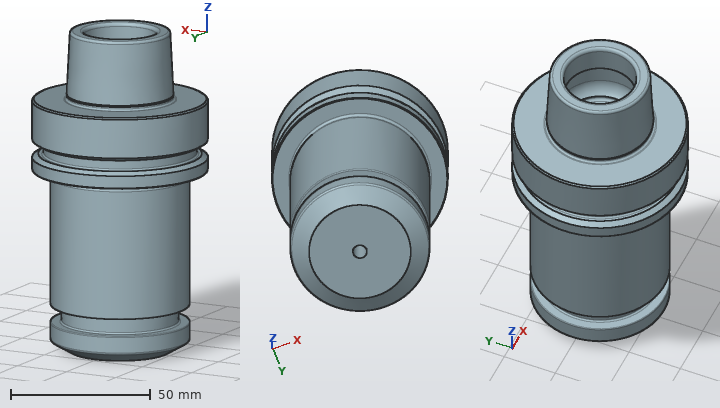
import cadquery as cq
import math


SHANK_HEIGHT = 25.0
GAUGE_RADIUS = 38.01 / 2
GAUGE_HEIGHT = 5.0
TAPER_RATIO = 1 / 9.98
TAPER_FOOT_HEIGHT = 1.8
TAPER_TIP_FILLET = 1.0
SHANK_NECK_RADIUS = 18.95
SHANK_NECK_TOP = 1.2

DISH_RADIUS = 20.2
DISH_DEPTH = 0.18
SHANK_NECK_FILLET = 0.7

FLANGE_RADIUS = 63.0 / 2
FLANGE_HEIGHT = 26.0
FLANGE_TOP_CHAMFER = 0.6
FLANGE_BOTTOM_CHAMFER = 0.3
GROOVE_CENTRE = -18.0
GROOVE_WIDTH = 4.0
GROOVE_ROOT_RADIUS = 55.0 / 2
GROOVE_FLARE_WIDTH = 2.2
GROOVE_FLARE_ANGLE = 30.0
GROOVE_ROOT_FILLET = 0.6

BODY_RADIUS = 50.0 / 2
BODY_BOTTOM = -75.3
BODY_BOTTOM_FILLET = 0.4
RELIEF_RADIUS = 49.3 / 2
RELIEF_BOTTOM = -27.2
RELIEF_TAPER_BOTTOM = -28.4
RELIEF_FILLET = 0.9

NECK_RADIUS = 42.0 / 2
NECK_FILLET = 0.6
NUT_TOP = -81.5
NUT_TOP_FILLET = 0.3
NUT_BOTTOM = -92.0
NUT_CONE_ANGLE = 30.0
NUT_END_RADIUS = 18.2
NUT_CONE_FILLET = 1.0

BORE_RADIUS = 26.0 / 2
BORE_EDGE_FILLET = 1.3
LIP_DEPTH = 10.2
LIP_FLANK_ANGLE = 30.0
UNDERCUT_RADIUS = 32.0 / 2
UNDERCUT_DEPTH = 19.7
UNDERCUT_ROUND_RADIUS = 6.0
FLOOR_WALL_HEIGHT = 1.5
BORE_FLOOR_FILLET = 1.0
TAP_MOUTH_RADIUS = 12.0 / 2
TAP_RADIUS = 10.2 / 2
TAP_DEPTH = 20.0
DRILL_POINT_ANGLE = 118.0
THROUGH_RADIUS = 5.0 / 2


def taper_radius(height):
    """Radius of the shank cone at a height above the contact face."""
    return GAUGE_RADIUS - (height - GAUGE_HEIGHT) * TAPER_RATIO / 2


def revolve_profile(profile):
    """Solid of revolution about Z from a closed half profile in the XZ plane."""
    return profile.revolve(360, (0, 0), (0, 1))


def edge_at(body, radius, height):
    """Circular edge of the given radius about Z at the given height."""
    tolerance = 0.01
    low = (-radius - tolerance, -radius - tolerance, height - tolerance)
    high = (radius + tolerance, radius + tolerance, height + tolerance)
    found = body.edges(cq.selectors.BoxSelector(low, high, boundingbox=True))
    return found.filter(lambda edge: abs(edge.radius() - radius) < tolerance)


def make_outside():
    """Taper shank, flange, body, neck and nut as one turned solid."""
    groove_top = GROOVE_CENTRE + GROOVE_WIDTH / 2
    groove_bottom = GROOVE_CENTRE - GROOVE_WIDTH / 2
    flare_height = GROOVE_FLARE_WIDTH * math.tan(math.radians(GROOVE_FLARE_ANGLE))
    flare_radius = FLANGE_RADIUS - GROOVE_FLARE_WIDTH
    cone_height = (BODY_RADIUS - NUT_END_RADIUS) * math.tan(math.radians(NUT_CONE_ANGLE))
    cone_top = NUT_BOTTOM + cone_height

    outline = [
        (0, SHANK_HEIGHT),
        (taper_radius(SHANK_HEIGHT), SHANK_HEIGHT),
        (taper_radius(TAPER_FOOT_HEIGHT), TAPER_FOOT_HEIGHT),
        (SHANK_NECK_RADIUS, SHANK_NECK_TOP),
        (SHANK_NECK_RADIUS, -DISH_DEPTH),
        (DISH_RADIUS, 0),
        (FLANGE_RADIUS - FLANGE_TOP_CHAMFER, 0),
        (FLANGE_RADIUS, -FLANGE_TOP_CHAMFER),
        (FLANGE_RADIUS, groove_top + flare_height),
        (flare_radius, groove_top),
        (GROOVE_ROOT_RADIUS, groove_top),
        (GROOVE_ROOT_RADIUS, groove_bottom),
        (flare_radius, groove_bottom),
        (FLANGE_RADIUS, groove_bottom - flare_height),
        (FLANGE_RADIUS, FLANGE_BOTTOM_CHAMFER - FLANGE_HEIGHT),
        (FLANGE_RADIUS - FLANGE_BOTTOM_CHAMFER, -FLANGE_HEIGHT),
        (RELIEF_RADIUS, -FLANGE_HEIGHT),
        (RELIEF_RADIUS, RELIEF_BOTTOM),
        (BODY_RADIUS, RELIEF_TAPER_BOTTOM),
        (BODY_RADIUS, BODY_BOTTOM),
        (NECK_RADIUS, BODY_BOTTOM),
        (NECK_RADIUS, NUT_TOP),
        (BODY_RADIUS, NUT_TOP),
        (BODY_RADIUS, cone_top),
        (NUT_END_RADIUS, NUT_BOTTOM),
        (0, NUT_BOTTOM),
    ]
    outside = revolve_profile(cq.Workplane("XZ").polyline(outline).close())

    rounded_edges = [
        (taper_radius(SHANK_HEIGHT), SHANK_HEIGHT, TAPER_TIP_FILLET),
        (SHANK_NECK_RADIUS, -DISH_DEPTH, SHANK_NECK_FILLET),
        (GROOVE_ROOT_RADIUS, groove_top, GROOVE_ROOT_FILLET),
        (GROOVE_ROOT_RADIUS, groove_bottom, GROOVE_ROOT_FILLET),
        (RELIEF_RADIUS, -FLANGE_HEIGHT, RELIEF_FILLET),
        (BODY_RADIUS, BODY_BOTTOM, BODY_BOTTOM_FILLET),
        (NECK_RADIUS, BODY_BOTTOM, NECK_FILLET),
        (NECK_RADIUS, NUT_TOP, NECK_FILLET),
        (BODY_RADIUS, NUT_TOP, NUT_TOP_FILLET),
        (BODY_RADIUS, cone_top, NUT_CONE_FILLET),
    ]
    for radius, height, fillet in rounded_edges:
        outside = edge_at(outside, radius, height).fillet(fillet)
    return outside


def make_bore():
    """Turned cavity: mouth bore, undercut, tap hole and through hole."""
    undercut_step = UNDERCUT_RADIUS - BORE_RADIUS
    undercut_bottom = SHANK_HEIGHT - UNDERCUT_DEPTH
    round_height = math.sqrt(UNDERCUT_ROUND_RADIUS**2 - (UNDERCUT_ROUND_RADIUS - undercut_step)**2)
    floor = undercut_bottom - round_height - FLOOR_WALL_HEIGHT
    lip = SHANK_HEIGHT - LIP_DEPTH
    flank_height = undercut_step * math.tan(math.radians(LIP_FLANK_ANGLE))
    tap_bottom = floor - TAP_DEPTH
    mouth_chamfer = TAP_MOUTH_RADIUS - TAP_RADIUS
    point_height = (TAP_RADIUS - THROUGH_RADIUS) / math.tan(math.radians(DRILL_POINT_ANGLE / 2))
    profile = (
        cq.Workplane("XZ")
        .moveTo(0, SHANK_HEIGHT)
        .lineTo(BORE_RADIUS, SHANK_HEIGHT)
        .lineTo(BORE_RADIUS, lip)
        .lineTo(UNDERCUT_RADIUS, lip - flank_height)
        .lineTo(UNDERCUT_RADIUS, undercut_bottom)
        .tangentArcPoint((BORE_RADIUS, undercut_bottom - round_height), relative=False)
        .lineTo(BORE_RADIUS, floor)
        .lineTo(TAP_MOUTH_RADIUS, floor)
        .lineTo(TAP_RADIUS, floor - mouth_chamfer)
        .lineTo(TAP_RADIUS, tap_bottom)
        .lineTo(THROUGH_RADIUS, tap_bottom - point_height)
        .lineTo(THROUGH_RADIUS, NUT_BOTTOM)
        .lineTo(0, NUT_BOTTOM)
        .close()
    )
    bore = revolve_profile(profile)
    return edge_at(bore, BORE_RADIUS, floor).fillet(BORE_FLOOR_FILLET)


bored = make_outside().cut(make_bore())
result = edge_at(bored, BORE_RADIUS, SHANK_HEIGHT).fillet(BORE_EDGE_FILLET)